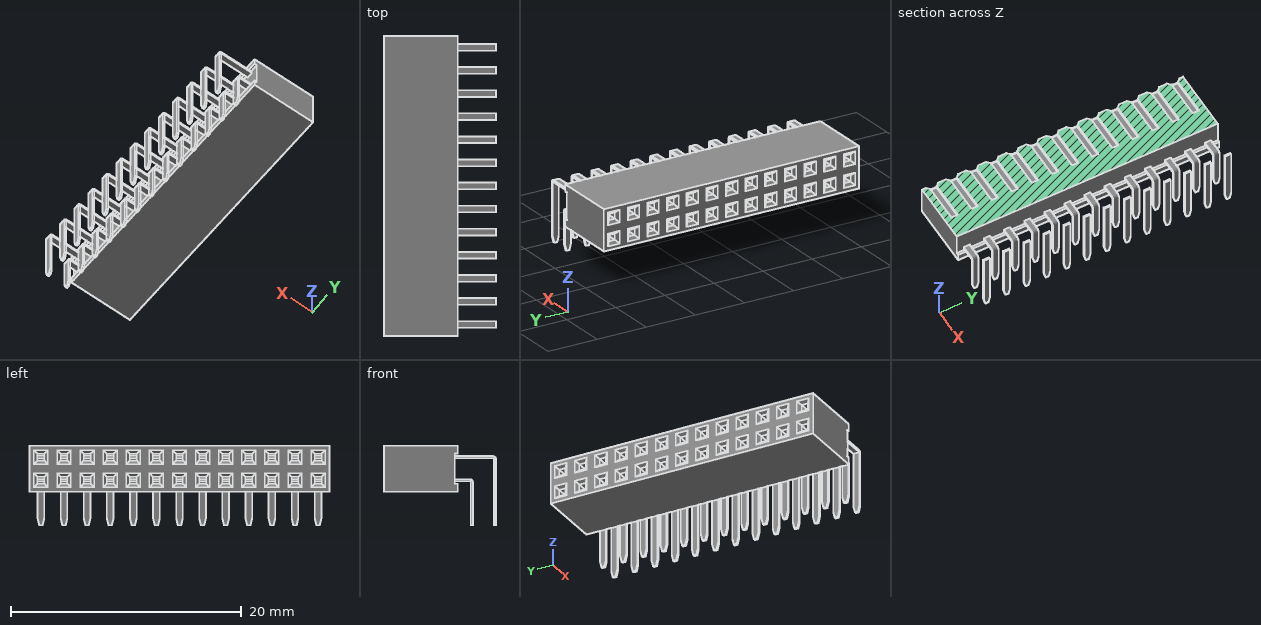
import cadquery as cq

PITCH = 2.0
CONTACTS_PER_ROW = 13
ROWS = 2

BODY_DEPTH = 6.4
BODY_LENGTH = CONTACTS_PER_ROW * PITCH
BODY_HEIGHT = 4.0
REAR_LIP = 0.7
REAR_RECESS_DEPTH = 0.25

SOCKET_MOUTH = 1.2
SOCKET_THROAT = 0.6
FUNNEL_DEPTH = 0.3
SOCKET_DEPTH = 4.0

PIN_WIDTH = 0.6
PIN_THICKNESS = 0.2
PIN_START = 3.0
PIN_REACH = 9.72
PIN_DROP = 2.9
BEND_RADIUS = 0.3
TIP_LENGTH = 0.6
TIP_WIDTH = 0.3


def column_y(column):
    """Y position of a column of contacts, centred on the housing."""
    return (column - (CONTACTS_PER_ROW - 1) / 2) * PITCH


def row_z(row):
    """Z position of a row of contacts, counted from the bottom."""
    return BODY_HEIGHT / 2 + (row - (ROWS - 1) / 2) * PITCH


def make_housing():
    """Rectangular block with a full-length recess along the rear face."""
    block = cq.Workplane("XY").box(
        BODY_DEPTH, BODY_LENGTH, BODY_HEIGHT, centered=(False, True, False)
    )
    recess = (
        cq.Workplane("XY")
        .box(
            REAR_RECESS_DEPTH,
            BODY_LENGTH,
            BODY_HEIGHT - 2 * REAR_LIP,
            centered=(False, True, False),
        )
        .translate((BODY_DEPTH - REAR_RECESS_DEPTH, 0, REAR_LIP))
    )
    return block.cut(recess)


def make_socket():
    """Cutter for one socket: a square funnel leading into a square throat."""
    funnel = (
        cq.Workplane("YZ")
        .rect(SOCKET_MOUTH, SOCKET_MOUTH)
        .workplane(offset=FUNNEL_DEPTH)
        .rect(SOCKET_THROAT, SOCKET_THROAT)
        .loft(ruled=True)
    )
    throat = (
        cq.Workplane("YZ", origin=(FUNNEL_DEPTH, 0, 0))
        .rect(SOCKET_THROAT, SOCKET_THROAT)
        .extrude(SOCKET_DEPTH - FUNNEL_DEPTH)
    )
    return funnel.union(throat)


def make_pin(row):
    """One L-shaped pin of the given row, centred on Y = 0, with a tapered tip."""
    reach = PIN_REACH - (ROWS - 1 - row) * PITCH
    top = row_z(row) + PIN_THICKNESS / 2
    strip = (
        cq.Workplane("XZ")
        .moveTo(PIN_START, top)
        .lineTo(reach - BEND_RADIUS, top)
        .radiusArc((reach, top - BEND_RADIUS), BEND_RADIUS)
        .lineTo(reach, -PIN_DROP)
        .lineTo(reach - PIN_THICKNESS, -PIN_DROP)
        .lineTo(reach - PIN_THICKNESS, top - PIN_THICKNESS)
        .lineTo(PIN_START, top - PIN_THICKNESS)
        .close()
        .extrude(PIN_WIDTH / 2, both=True)
    )
    tapered_blade = cq.Workplane("YZ").polyline(
        [
            (-PIN_WIDTH / 2, top),
            (-PIN_WIDTH / 2, TIP_LENGTH - PIN_DROP),
            (-TIP_WIDTH / 2, -PIN_DROP),
            (TIP_WIDTH / 2, -PIN_DROP),
            (PIN_WIDTH / 2, TIP_LENGTH - PIN_DROP),
            (PIN_WIDTH / 2, top),
        ]
    )
    return strip.intersect(tapered_blade.close().extrude(PIN_REACH))


def copies_along_row(shape):
    """Copies of a shape at every column of a row."""
    copies = cq.Workplane("XY")
    for column in range(CONTACTS_PER_ROW):
        copies = copies.add(shape.translate((0, column_y(column), 0)))
    return copies.combine(glue=True)


result = make_housing()
for row in range(ROWS):
    sockets = copies_along_row(make_socket().translate((0, 0, row_z(row))))
    result = result.cut(sockets).union(copies_along_row(make_pin(row)))